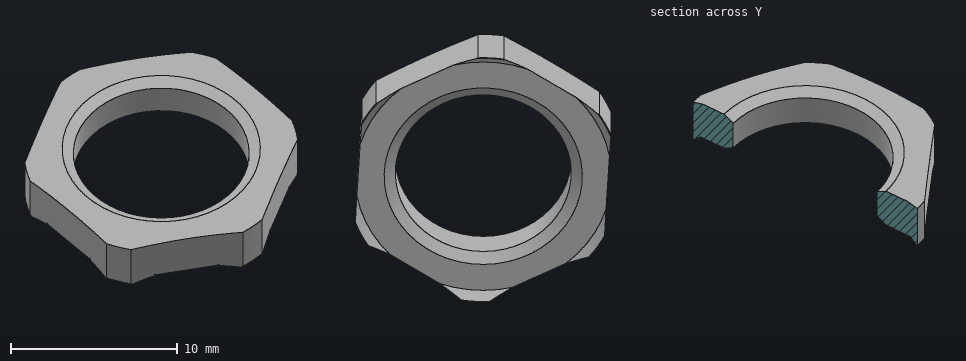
import cadquery as cq
import math

sides = 6
across_flats = 15.0
corner_diameter = 16.5
height = 3.3

bevel_angle = 15.0

bore_diameter = 10.55
countersink_diameter = 11.9
countersink_angle = 30.0

recess_diameter = 16.4
recess_depth = 0.5
recess_wall_angle = 45.0

corner_radius = corner_diameter / 2
bevel_inner_radius = across_flats / 2
bore_radius = bore_diameter / 2
countersink_radius = countersink_diameter / 2
recess_radius = recess_diameter / 2


def rise(run, angle):
    """Height gained over a horizontal run at the given angle from horizontal."""
    return run * math.tan(math.radians(angle))


def make_turned_ring():
    """Ring of revolution with every round surface: bore, countersinks, bevel and recess."""
    bevel_drop = rise(corner_radius - bevel_inner_radius, bevel_angle)
    countersink_depth = rise(countersink_radius - bore_radius, countersink_angle)
    recess_floor_radius = recess_radius - recess_depth / math.tan(math.radians(recess_wall_angle))
    profile = [
        (bore_radius, recess_depth + countersink_depth),
        (countersink_radius, recess_depth),
        (recess_floor_radius, recess_depth),
        (recess_radius, 0),
        (corner_radius, 0),
        (corner_radius, height - bevel_drop),
        (bevel_inner_radius, height),
        (countersink_radius, height),
        (bore_radius, height - countersink_depth),
    ]
    return cq.Workplane("XZ").polyline(profile).close().revolve(360, (0, 0), (0, 1))


def make_hexagon():
    """Hexagonal prism with two flats facing -Y and +Y."""
    across_corners = across_flats / math.cos(math.pi / sides)
    return cq.Workplane("XY").polygon(sides, across_corners).extrude(height)


result = make_turned_ring().intersect(make_hexagon())